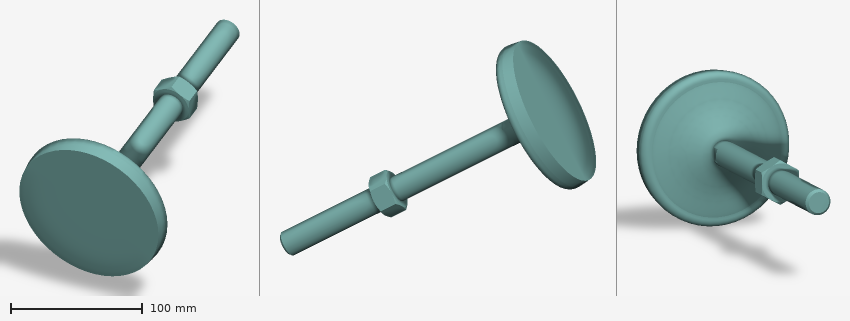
import cadquery as cq
import math

total_length = 242.0

pad_diameter = 120.0
pad_radius = pad_diameter / 2
underside_radius = 58.8
rim_bottom = 9.0
rim_top = 11.9
shoulder_height = 17.2
shoulder_radius = 54.7
saddle_foot_radius = 52.3
saddle_mid_radius = 31.7
saddle_mid_height = 22.5
crown_edge_radius = 16.0
crown_edge_height = 29.5
crown_radius = 10.2
crown_height = 32.0

rod_diameter = 20.0
rod_radius = rod_diameter / 2
rod_start = 33.0
tip_chamfer = 2.0
neck_diameter = 10.0
flats_width = 17.0
flats_length = 8.7

nut_width = 30.0
nut_height = 16.0
nut_start = 141.8
nut_bevel_angle = math.radians(30)


def cylinder(diameter, start, end):
    """Round bar on the Y axis between two heights."""
    return cq.Workplane("XZ", origin=(0, start, 0)).circle(diameter / 2).extrude(start - end)


def make_pad():
    """Revolved foot with a tapered skirt, round shoulder and concave upper side."""
    shoulder_drop = shoulder_height - rim_top
    shoulder_run = pad_radius - shoulder_radius
    shoulder_mid = (
        shoulder_radius + shoulder_run * math.cos(math.pi / 4),
        rim_top + shoulder_drop * math.sin(math.pi / 4),
    )
    profile = (
        cq.Workplane("XY")
        .lineTo(underside_radius, 0)
        .lineTo(pad_radius, rim_bottom)
        .lineTo(pad_radius, rim_top)
        .threePointArc(shoulder_mid, (shoulder_radius, shoulder_height))
        .lineTo(saddle_foot_radius, shoulder_height)
        .threePointArc((saddle_mid_radius, saddle_mid_height), (crown_edge_radius, crown_edge_height))
        .tangentArcPoint((crown_radius, crown_height), relative=False)
        .lineTo(0, crown_height)
        .close()
    )
    return profile.revolve(360, (0, 0, 0), (0, 1, 0))


def make_spindle():
    """Rod with a chamfered tip, two wrench flats facing X and a thin neck into the pad."""
    rod = cylinder(rod_diameter, rod_start, total_length).faces(">Y").chamfer(tip_chamfer)
    flat_depth = rod_radius - flats_width / 2
    for side in (-1, 1):
        cutter = cq.Workplane("XY").box(flat_depth, flats_length, rod_diameter)
        flat_center = side * (flats_width + flat_depth) / 2
        rod = rod.cut(cutter.translate((flat_center, rod_start + flats_length / 2, 0)))
    neck = cylinder(neck_diameter, crown_height / 2, rod_start)
    return rod.union(neck)


def make_nut():
    """Hexagon with flats facing X, its corners bevelled by a cone at both ends."""
    corner_radius = nut_width / 2 / math.cos(math.pi / 6)
    face_radius = nut_width / 2
    bevel_height = (corner_radius - face_radius) * math.tan(nut_bevel_angle)
    nut_end = nut_start + nut_height
    hexagon = (
        cq.Workplane("XZ", origin=(0, nut_start, 0))
        .transformed(rotate=(0, 0, 30))
        .polygon(6, 2 * corner_radius)
        .extrude(-nut_height)
    )
    bevel_envelope = (
        cq.Workplane("XY")
        .moveTo(0, nut_start)
        .lineTo(face_radius, nut_start)
        .lineTo(corner_radius, nut_start + bevel_height)
        .lineTo(corner_radius, nut_end - bevel_height)
        .lineTo(face_radius, nut_end)
        .lineTo(0, nut_end)
        .close()
        .revolve(360, (0, 0, 0), (0, 1, 0))
    )
    return hexagon.intersect(bevel_envelope)


result = make_pad().union(make_spindle()).union(make_nut())